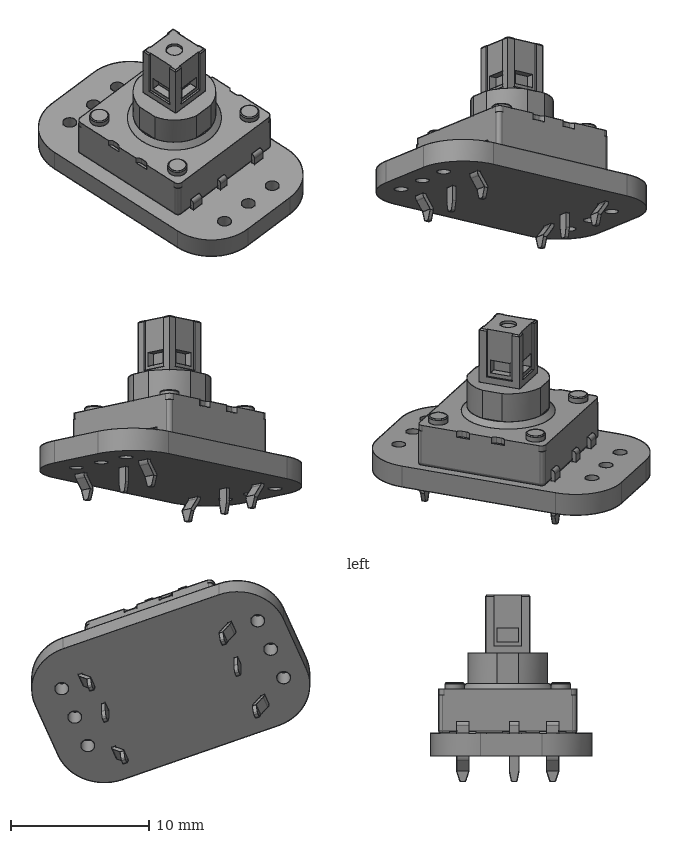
import cadquery as cq
import math


OVERALL_HEIGHT = 13.5

BOARD_LENGTH = 19.32
BOARD_WIDTH = 11.68
BOARD_THICKNESS = 1.65
BOARD_CORNER_RADIUS = 3.6
GRID = 0.127
BOARD_CENTER_X = -GRID
BOARD_CENTER_Y = -2 * GRID
WIRE_HOLE_DIAMETER = 1.0
WIRE_HOLE_PITCH = 20 * GRID
WIRE_HOLE_ROW_SPACING = 6 * WIRE_HOLE_PITCH
WIRE_HOLE_CENTER_X = BOARD_CENTER_X + 2 * GRID
WIRE_HOLE_CENTER_Y = BOARD_CENTER_Y - 2 * GRID

HOUSING_SIZE = 10.0
HOUSING_HALF = HOUSING_SIZE / 2
HOUSING_HEIGHT = 3.2
COVER_THICKNESS = 0.45
BASE_HEIGHT = HOUSING_HEIGHT - COVER_THICKNESS
COVER_CORNER_RADIUS = 0.4
BASE_CORNER_RADIUS = 0.3
BASE_BOTTOM_FILLET = 0.2

NOTCH_DIAMETER = 0.75
NOTCH_FLAT = 0.37
NOTCH_DEPTH = 0.2
NOTCH_X = 1.37

RIVET_DIAMETER = 1.4
RIVET_HEIGHT = 0.45
RIVET_CHAMFER = 0.08
RIVET_OFFSET = 3.84

FOOT_BASE_RADIUS = 3.4
FOOT_TOP_RADIUS = 3.0
FOOT_HEIGHT = 0.4
COLLAR_DIAMETER = 5.98
COLLAR_ACROSS_FLATS = 5.78
COLLAR_TOP = 5.8

STEM_SIZE = 3.2
STEM_HALF = STEM_SIZE / 2
STEM_TOP = 10.0
STEM_CHAMFER = 0.1
GROOVE_WIDTH = 2.0
GROOVE_DEPTH = 0.16
GROOVE_BOTTOM = 6.3
WINDOW_WIDTH = 1.55
WINDOW_BOTTOM = 6.6
WINDOW_HEIGHT = 1.0
WINDOW_DEPTH = 0.6
DIMPLE_DIAMETER = 1.2
DIMPLE_DEPTH = 0.2

PIN_THICKNESS = 0.3
PIN_INNER_X = HOUSING_HALF
PIN_OUTER_X = PIN_INNER_X + PIN_THICKNESS
PIN_TOP = 0.85
PIN_TOP_FILLET = 0.285
PIN_TIP = STEM_TOP - OVERALL_HEIGHT
PIN_SHOULDER_DEPTH = 1.1
PIN_TAPER_TOP = -BOARD_THICKNESS - PIN_SHOULDER_DEPTH
PIN_TIP_WIDTH = 0.4
PIN_TIP_FILLET = 0.12
SNAP_PIN_WIDTH = 0.9
SNAP_PIN_Y = 3.25
CENTER_PIN_WIDTH = 0.7
CENTER_PIN_Y = -0.465

KINK_Z = -BOARD_THICKNESS
KINK_HALF_HEIGHT = 1.07
KINK_SHARP_REACH = 0.8
KINK_OUTER_RADIUS = 0.56

RELIEF_HEIGHT = 0.12
RELIEF_LENGTH = 1.0
RELIEF_MARGIN = 0.5


def box(x_range, y_range, z_range):
    """Block between the given limits along each axis."""
    (x0, x1), (y0, y1), (z0, z1) = x_range, y_range, z_range
    return cq.Workplane("XY").box(x1 - x0, y1 - y0, z1 - z0, centered=False).translate((x0, y0, z0))


def rounded_square(size, corner_radius, bottom, height):
    block = cq.Workplane("XY").workplane(offset=bottom).rect(size, size).extrude(height)
    return block.edges("|Z").fillet(corner_radius)


def make_base():
    base = rounded_square(HOUSING_SIZE, BASE_CORNER_RADIUS, 0, BASE_HEIGHT)
    base = base.faces("<Z").edges().fillet(BASE_BOTTOM_FILLET)
    relief_z = (0, RELIEF_HEIGHT)
    for pin_y, pin_width in pin_rows():
        half_relief = pin_width / 2 + RELIEF_MARGIN
        relief_y = (pin_y - half_relief, pin_y + half_relief)
        for inner, outer in (
            (-HOUSING_HALF, -HOUSING_HALF + RELIEF_LENGTH),
            (HOUSING_HALF - RELIEF_LENGTH, HOUSING_HALF),
        ):
            base = base.cut(box((inner, outer), relief_y, relief_z))
    channel_x = (-HOUSING_HALF, HOUSING_HALF)
    channel_inner = SNAP_PIN_Y - SNAP_PIN_WIDTH / 2 - RELIEF_MARGIN
    for channel_y in ((channel_inner, SNAP_PIN_Y), (-SNAP_PIN_Y, -channel_inner)):
        base = base.cut(box(channel_x, channel_y, relief_z))
    return base


def make_cover():
    cover = rounded_square(HOUSING_SIZE, COVER_CORNER_RADIUS, BASE_HEIGHT, COVER_THICKNESS)
    notch_y = HOUSING_HALF - NOTCH_DEPTH + NOTCH_DIAMETER / 2
    notches = (
        cq.Workplane("XY")
        .workplane(offset=BASE_HEIGHT)
        .pushPoints([(x, y) for x in (-NOTCH_X, NOTCH_X) for y in (-notch_y, notch_y)])
        .slot2D(NOTCH_FLAT + NOTCH_DIAMETER, NOTCH_DIAMETER)
        .extrude(COVER_THICKNESS)
    )
    return cover.cut(notches)


def make_rivets():
    rivet = cq.Workplane("XY").circle(RIVET_DIAMETER / 2).extrude(RIVET_HEIGHT)
    rivet = rivet.faces(">Z").chamfer(RIVET_CHAMFER)
    return [
        rivet.translate((x, y, HOUSING_HEIGHT))
        for x in (-RIVET_OFFSET, RIVET_OFFSET)
        for y in (-RIVET_OFFSET, RIVET_OFFSET)
    ]


def make_collar():
    foot_profile = [
        (0, HOUSING_HEIGHT),
        (FOOT_BASE_RADIUS, HOUSING_HEIGHT),
        (FOOT_TOP_RADIUS, HOUSING_HEIGHT + FOOT_HEIGHT),
        (0, HOUSING_HEIGHT + FOOT_HEIGHT),
    ]
    foot = cq.Workplane("XZ").polyline(foot_profile).close().revolve(360, (0, 0, 0), (0, 1, 0))
    plane = cq.Workplane("XY").workplane(offset=HOUSING_HEIGHT)
    height = COLLAR_TOP - HOUSING_HEIGHT
    collar = plane.circle(COLLAR_DIAMETER / 2).extrude(height)
    flats = plane.rect(COLLAR_ACROSS_FLATS, COLLAR_ACROSS_FLATS).extrude(height)
    return collar.intersect(flats).union(foot)


def make_stem():
    stem = cq.Workplane("XY").workplane(offset=COLLAR_TOP).rect(STEM_SIZE, STEM_SIZE)
    stem = stem.extrude(STEM_TOP - COLLAR_TOP).faces(">Z").chamfer(STEM_CHAMFER)
    groove = box(
        (STEM_HALF - GROOVE_DEPTH, STEM_HALF),
        (-GROOVE_WIDTH / 2, GROOVE_WIDTH / 2),
        (GROOVE_BOTTOM, STEM_TOP),
    )
    window = box(
        (STEM_HALF - GROOVE_DEPTH - WINDOW_DEPTH, STEM_HALF),
        (-WINDOW_WIDTH / 2, WINDOW_WIDTH / 2),
        (WINDOW_BOTTOM, WINDOW_BOTTOM + WINDOW_HEIGHT),
    )
    side_cut = groove.union(window)
    for angle in (0, 90, 180, 270):
        stem = stem.cut(side_cut.rotate((0, 0, 0), (0, 0, 1), angle))
    return stem.faces(">Z").workplane().hole(DIMPLE_DIAMETER, DIMPLE_DEPTH)


def pin_rows():
    """Y position and width of each row of pins."""
    return (
        (SNAP_PIN_Y, SNAP_PIN_WIDTH),
        (CENTER_PIN_Y, CENTER_PIN_WIDTH),
        (-SNAP_PIN_Y, SNAP_PIN_WIDTH),
    )


def kinked_strip(width):
    """Strip with an outward kink, extruded along Y about Y = 0."""
    lean = math.atan2(KINK_SHARP_REACH, KINK_HALF_HEIGHT)
    inner_half_height = KINK_HALF_HEIGHT - PIN_THICKNESS * math.tan(lean / 2)
    outer_apex = PIN_OUTER_X + KINK_SHARP_REACH
    inner_apex = outer_apex - PIN_THICKNESS / math.cos(lean)
    profile = [
        (PIN_OUTER_X, PIN_TOP),
        (PIN_OUTER_X, KINK_Z + KINK_HALF_HEIGHT),
        (outer_apex, KINK_Z),
        (PIN_OUTER_X, KINK_Z - KINK_HALF_HEIGHT),
        (PIN_OUTER_X, PIN_TIP),
        (PIN_INNER_X, PIN_TIP),
        (PIN_INNER_X, KINK_Z - inner_half_height),
        (inner_apex, KINK_Z),
        (PIN_INNER_X, KINK_Z + inner_half_height),
        (PIN_INNER_X, PIN_TOP),
    ]
    strip = cq.Workplane("XZ").polyline(profile).close().extrude(width / 2, both=True)
    for apex, radius in (
        (outer_apex, KINK_OUTER_RADIUS),
        (inner_apex, KINK_OUTER_RADIUS - PIN_THICKNESS),
    ):
        strip = strip.edges(cq.selectors.NearestToPointSelector((apex, 0, KINK_Z))).fillet(radius)
    return strip


def straight_strip(width):
    return box((PIN_INNER_X, PIN_OUTER_X), (-width / 2, width / 2), (PIN_TIP, PIN_TOP))


def pin_outline(width):
    """Pointed pin outline across Y, thick enough along X to hold any strip."""
    outline = [
        (-width / 2, PIN_TOP),
        (-width / 2, PIN_TAPER_TOP),
        (-PIN_TIP_WIDTH / 2, PIN_TIP),
        (PIN_TIP_WIDTH / 2, PIN_TIP),
        (width / 2, PIN_TAPER_TOP),
        (width / 2, PIN_TOP),
    ]
    blade = cq.Workplane("YZ").polyline(outline).close().extrude(2 * PIN_OUTER_X)
    return blade.faces("<Z").edges("|X").fillet(PIN_TIP_FILLET)


def make_pins():
    pins = []
    for pin_y, width in pin_rows():
        strip = straight_strip(width) if pin_y == CENTER_PIN_Y else kinked_strip(width)
        strip = strip.faces(">Z").edges(">X").fillet(PIN_TOP_FILLET)
        pin = strip.intersect(pin_outline(width)).translate((0, pin_y, 0))
        pins += [pin, pin.mirror("YZ")]
    return pins


def make_switch(pins):
    switch = make_base().union(make_cover()).union(make_collar()).union(make_stem())
    for part in make_rivets() + pins:
        switch = switch.union(part)
    return switch


def make_board(pins):
    """Rounded board with two rows of wire holes and openings that match the pins."""
    board = (
        cq.Workplane("XY")
        .rect(BOARD_LENGTH, BOARD_WIDTH)
        .extrude(-BOARD_THICKNESS)
        .edges("|Z")
        .fillet(BOARD_CORNER_RADIUS)
        .translate((BOARD_CENTER_X, BOARD_CENTER_Y, 0))
    )
    wire_holes = (
        cq.Workplane("XY")
        .center(WIRE_HOLE_CENTER_X, WIRE_HOLE_CENTER_Y)
        .rarray(WIRE_HOLE_ROW_SPACING, WIRE_HOLE_PITCH, 2, 3)
        .circle(WIRE_HOLE_DIAMETER / 2)
        .extrude(-BOARD_THICKNESS)
    )
    board = board.cut(wire_holes)
    for pin in pins:
        board = board.cut(pin)
    return board


switch_pins = make_pins()
switch = make_switch(switch_pins)
board = make_board(switch_pins)

result = cq.Compound.makeCompound([board.val(), switch.val()])